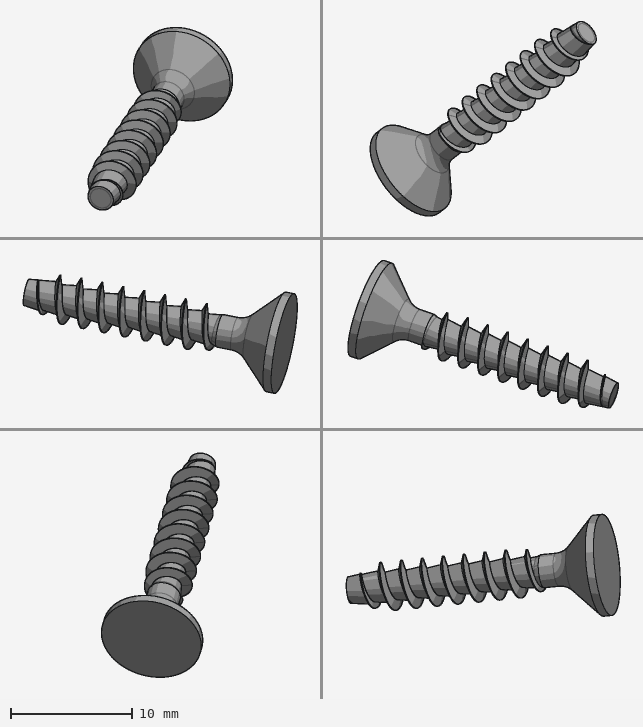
import cadquery as cq
import math


screw_length = 22.0

head_radius = 4.2
head_rim_height = 0.7
cone_half_angle = math.radians(45)
neck_fillet_radius = 1.7
shank_radius = 1.38
shank_end = 5.5
runout_length = 0.7
runout_end_radius = 1.1

pitch = 1.785
thread_start = 5.43
thread_start_angle = math.pi
crest_radius = 2.04
crest_width = 0.08
root_width = 0.6
narrowest_root = 0.15
start_radius = 1.59
ramp_in_turns = 1.0
ramp_out_start = 7.75
ramp_out_turns = 1.2

core_high_radius = 1.36
core_taper = 0.133
core_low_radius = core_high_radius - core_taper * (pitch - root_width)
tip_radius = 1.11
core_base_clearance = 0.01
turn_gap = 0.02
foot_radius = 0.9

first_turn = -1.0
helical_turns = 11
points_per_turn = 24
trim_radius = 2 * crest_radius


def revolve_about_axis(profile):
    return profile.close().revolve(360, (0, 0, 0), (0, 1, 0))


def make_head_and_shank():
    """Rim, countersink, neck fillet, plain shank and the short cone that leads into the core."""
    mid_angle = cone_half_angle / 2
    neck_radius = shank_radius + neck_fillet_radius * (1 - math.cos(cone_half_angle))
    neck_mid_radius = shank_radius + neck_fillet_radius * (1 - math.cos(mid_angle))
    neck_start = head_rim_height + (head_radius - neck_radius) / math.tan(cone_half_angle)
    neck_end = neck_start + neck_fillet_radius * math.sin(cone_half_angle)
    neck_mid = neck_end - neck_fillet_radius * math.sin(mid_angle)
    runout_end = shank_end + runout_length
    return revolve_about_axis(
        cq.Workplane("XZ")
        .lineTo(head_radius, 0)
        .lineTo(head_radius, head_rim_height)
        .lineTo(neck_radius, neck_start)
        .threePointArc((neck_mid_radius, neck_mid), (shank_radius, neck_end))
        .lineTo(shank_radius, shank_end)
        .lineTo(runout_end_radius, runout_end)
        .lineTo(0, runout_end)
    )


def make_core_base():
    """Solid core just below the helical surface, with a slight cone at the tip."""
    base_radius = core_low_radius - core_base_clearance
    base_tip_radius = tip_radius - core_base_clearance
    cone_start = screw_length - (base_radius - base_tip_radius) / core_taper
    return revolve_about_axis(
        cq.Workplane("XZ")
        .moveTo(0, shank_end)
        .lineTo(base_radius, shank_end)
        .lineTo(base_radius, cone_start)
        .lineTo(base_tip_radius, screw_length)
        .lineTo(0, screw_length)
    )


def fin_depth(turn):
    return thread_start + pitch * turn


def tip_cone_radius(depth):
    return tip_radius + core_taper * (screw_length - depth)


def crest_radius_at(turn):
    """Crest radius: ramps up from the shank, stays constant, ramps down to the tip cone."""
    ramp_in = start_radius + (crest_radius - start_radius) * turn / ramp_in_turns
    ramp_out_slope = (crest_radius - tip_radius) / ramp_out_turns
    ramp_out = crest_radius - ramp_out_slope * (turn - ramp_out_start)
    lowest = min(core_high_radius, tip_cone_radius(fin_depth(turn)))
    return max(lowest, min(ramp_in, crest_radius, ramp_out))


def root_offset(turn):
    """Half the width of the fin where it meets the core; a lower fin is narrower."""
    depth = fin_depth(turn)
    lowest = min(core_high_radius, tip_cone_radius(depth))
    relative_height = (crest_radius_at(turn) - lowest) / (crest_radius - core_high_radius)
    relative_width = min(1, max(narrowest_root, relative_height))
    return (crest_width + (root_width - crest_width) * relative_width) / 2




def core_point(radius, turn, offset):
    return min(radius, tip_cone_radius(fin_depth(turn) + offset)), offset


def front_foot(turn):
    return foot_radius, -root_offset(turn)


def front_root(turn):
    return core_point(core_low_radius, turn, -root_offset(turn))


def front_crest(turn):
    return crest_radius_at(turn), -crest_width / 2


def back_crest(turn):
    return crest_radius_at(turn), crest_width / 2


def back_root(turn):
    return core_point(core_high_radius, turn, root_offset(turn))


def next_root_offset(turn):
    return pitch - root_offset(turn + 1) - turn_gap


def next_root(turn):
    return core_point(core_low_radius, turn, next_root_offset(turn))


def next_foot(turn):
    return foot_radius, next_root_offset(turn)


section_corners = [front_foot, front_root, front_crest, back_crest, back_root, next_root, next_foot]


def helical_edge(corner, first):
    """One-turn spiral traced by a section corner; corner(turn) gives (radius, axial offset)."""
    points = []
    for step in range(points_per_turn + 1):
        turn = first + step / points_per_turn
        radius, offset = corner(turn)
        angle = thread_start_angle + 2 * math.pi * turn
        points.append(cq.Vector(radius * math.cos(angle), radius * math.sin(angle), fin_depth(turn) + offset))
    return cq.Edge.makeSpline(points)


def make_helical_turn(first):
    """One turn as a solid bounded by ruled faces between the spirals of neighbouring corners."""
    edges = [helical_edge(corner, first) for corner in section_corners]
    faces = [cq.Face.makeRuledSurface(a, b) for a, b in zip(edges, edges[1:] + edges[:1])]
    for end in (0, 1):
        outline = cq.Wire.makePolygon([edge.positionAt(end) for edge in edges], close=True)
        faces.append(cq.Face.makeFromWires(outline))
    return cq.Solid.makeSolid(cq.Shell.makeShell(faces)).fix()


def make_thread_turns():
    """Fin and the tapering core surface behind it, as a list of turns trimmed at both ends."""
    trim_length = screw_length - shank_end
    trim = cq.Workplane("XY").workplane(offset=shank_end).circle(trim_radius).extrude(trim_length).val()
    turns = []
    for index in range(helical_turns):
        whole_turn = make_helical_turn(first_turn + index)
        box = whole_turn.BoundingBox()
        if box.zmin < shank_end or box.zmax > screw_length:
            turns += whole_turn.intersect(trim).Solids()
        else:
            turns.append(whole_turn)
    return turns


core = make_core_base().val()
screw = make_head_and_shank().val().fuse(core, *make_thread_turns())
result = cq.Workplane(screw.Solids()[0]).rotate((0, 0, 0), (1, 0, 0), 90)